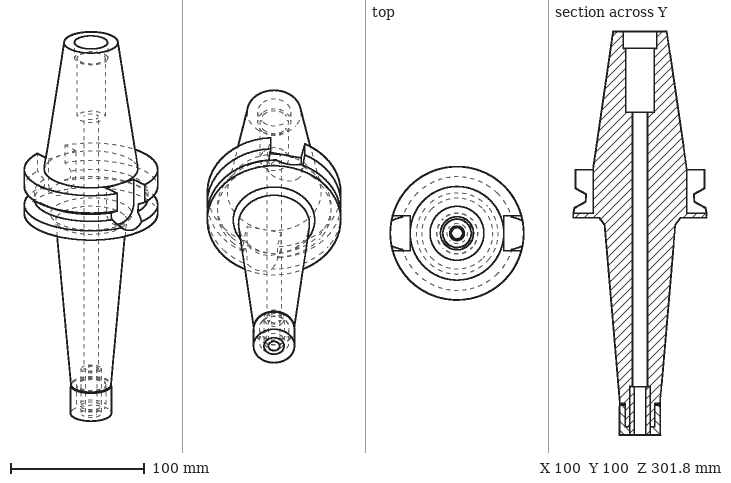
import cadquery as cq

TOTAL_HEIGHT = 301.8
GAUGE_Z = 200.0
FLANGE_TOP_Z = 198.5
FLANGE_BOTTOM_Z = 162.5
NOSE_TOP_Z = 157.2
NOSE_BOTTOM_Z = 23.5

TAPER_RATIO = 7 / 24
GAUGE_RADIUS = 35.0
TAPER_SMALL_RADIUS = GAUGE_RADIUS - TAPER_RATIO / 2 * (TOTAL_HEIGHT - GAUGE_Z)
FLANGE_RADIUS = 100.0 / 2

GROOVE_RADIUS = 42.5
GROOVE_TOP_Z = 184.5
GROOVE_FLOOR_TOP_Z = 180.2
GROOVE_FLOOR_BOTTOM_Z = 174.5
GROOVE_BOTTOM_Z = 170.0

SLOT_WIDTH = 26.0
SLOT_FLOOR_X = 35.0
SLOT_BOTTOM_Z = 166.0

COLLAR_RADIUS = 30.5
NOSE_TOP_RADIUS = 26.5
NOSE_BOTTOM_RADIUS = 15.0

COUNTERBORE_RADIUS = 12.5
COUNTERBORE_DEPTH = 12.7
DRAWBAR_RADIUS = 10.5
DRAWBAR_DEPTH = 60.5
CHANNEL_RADIUS = 5.5

NUT_RADIUS = 15.5
NUT_HEIGHT = 22.5
NUT_CHAMFER_HEIGHT = 1.8
NUT_CHAMFER_DEPTH = 0.3
NUT_FLOOR = 6.0
SPIGOT_RADIUS = 11.2
COLLET_RADIUS = 7.5
COLLET_LENGTH = 36.2
COLLET_BORE_RADIUS = 4.2


def cylinder(radius, bottom_z, top_z):
    """Solid cylinder on the Z axis between two heights."""
    return cq.Workplane("XY").workplane(offset=bottom_z).circle(radius).extrude(top_z - bottom_z)


def holder_blank():
    """Revolved taper, grooved flange, nose and the spigot that enters the nut."""
    outline = [
        (0, NUT_FLOOR),
        (SPIGOT_RADIUS, NUT_FLOOR),
        (SPIGOT_RADIUS, NOSE_BOTTOM_Z),
        (NOSE_BOTTOM_RADIUS, NOSE_BOTTOM_Z),
        (NOSE_TOP_RADIUS, NOSE_TOP_Z),
        (COLLAR_RADIUS, FLANGE_BOTTOM_Z),
        (FLANGE_RADIUS, FLANGE_BOTTOM_Z),
        (FLANGE_RADIUS, GROOVE_BOTTOM_Z),
        (GROOVE_RADIUS, GROOVE_FLOOR_BOTTOM_Z),
        (GROOVE_RADIUS, GROOVE_FLOOR_TOP_Z),
        (FLANGE_RADIUS, GROOVE_TOP_Z),
        (FLANGE_RADIUS, FLANGE_TOP_Z),
        (GAUGE_RADIUS, FLANGE_TOP_Z),
        (GAUGE_RADIUS, GAUGE_Z),
        (TAPER_SMALL_RADIUS, TOTAL_HEIGHT),
        (0, TOTAL_HEIGHT),
    ]
    return cq.Workplane("XZ").polyline(outline).close().revolve(360, (0, 0), (0, 1))


def drive_slot(side):
    """Round-bottomed slot cutter, on the +X (side=1) or -X (side=-1) edge of the flange."""
    half_width = SLOT_WIDTH / 2
    arc_center_z = SLOT_BOTTOM_Z + half_width
    return (
        cq.Workplane("YZ")
        .workplane(offset=side * SLOT_FLOOR_X)
        .moveTo(-half_width, FLANGE_TOP_Z)
        .lineTo(-half_width, arc_center_z)
        .threePointArc((0, SLOT_BOTTOM_Z), (half_width, arc_center_z))
        .lineTo(half_width, FLANGE_TOP_Z)
        .close()
        .extrude(side * FLANGE_RADIUS)
    )


def make_holder():
    """Tool holder with drive slots, stepped drawbar bore, channel and collet socket."""
    body = holder_blank()
    for side in (-1, 1):
        body = body.cut(drive_slot(side))
    body = body.cut(cylinder(COUNTERBORE_RADIUS, TOTAL_HEIGHT - COUNTERBORE_DEPTH, TOTAL_HEIGHT))
    body = body.cut(cylinder(DRAWBAR_RADIUS, TOTAL_HEIGHT - DRAWBAR_DEPTH, TOTAL_HEIGHT))
    body = body.cut(cylinder(CHANNEL_RADIUS, 0, TOTAL_HEIGHT))
    return body.cut(cylinder(COLLET_RADIUS, 0, COLLET_LENGTH))


def make_nut():
    """Cup-shaped nut around the spigot, with a slightly relieved upper rim."""
    outline = [
        (COLLET_RADIUS, 0),
        (NUT_RADIUS, 0),
        (NUT_RADIUS, NUT_HEIGHT - NUT_CHAMFER_HEIGHT),
        (NUT_RADIUS - NUT_CHAMFER_DEPTH, NUT_HEIGHT),
        (SPIGOT_RADIUS, NUT_HEIGHT),
        (SPIGOT_RADIUS, NUT_FLOOR),
        (COLLET_RADIUS, NUT_FLOOR),
    ]
    return cq.Workplane("XZ").polyline(outline).close().revolve(360, (0, 0), (0, 1))


def make_collet():
    """Straight collet sleeve, flush with the nut face."""
    return cylinder(COLLET_RADIUS, 0, COLLET_LENGTH).cut(cylinder(COLLET_BORE_RADIUS, 0, COLLET_LENGTH))


holder = make_holder()
nut = make_nut()
collet = make_collet()

result = cq.Compound.makeCompound([holder.val(), nut.val(), collet.val()])